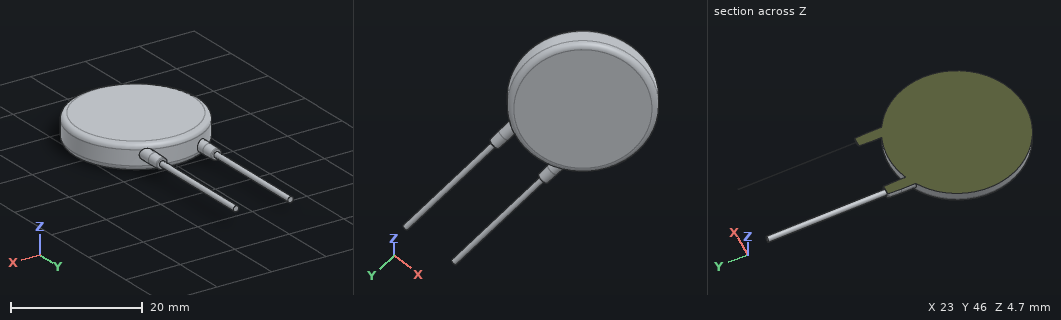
import cadquery as cq

disc_diameter = 23.0
disc_thickness = 4.7
edge_radius = 1.0

lead_spacing = 10.0
lead_stagger = 1.0
lead_diameter = 1.0
lead_end_y = 34.5

sleeve_tip_diameter = 1.95
sleeve_end_y = 14.5
sleeve_tip_radius = 0.15
collar_diameter = 2.05
collar_end_y = 12.3
root_y = 8.3


def section(x, z, y):
    """Plane across a lead at the given y, facing +Y."""
    return cq.Workplane(cq.Plane(origin=(x, y, z), xDir=(1, 0, 0), normal=(0, 1, 0)))


def rod(x, z, diameter, end_y):
    """Round rod along Y from inside the disc to end_y."""
    return section(x, z, root_y).circle(diameter / 2).extrude(end_y - root_y)


def tapered_sleeve(x, z):
    """Sleeve narrowing from the collar to its rounded tip."""
    length = sleeve_end_y - collar_end_y
    sleeve = (
        section(x, z, collar_end_y)
        .circle(collar_diameter / 2)
        .workplane(offset=length)
        .circle(sleeve_tip_diameter / 2)
        .loft()
    )
    return sleeve.faces(">Y").edges().fillet(sleeve_tip_radius)


def lead(side):
    """Lead with sleeve and collar; side is -1 (low, -X) or +1 (high, +X)."""
    x = side * lead_spacing / 2
    z = side * lead_stagger / 2
    wire = rod(x, z, lead_diameter, lead_end_y)
    collar = rod(x, z, collar_diameter, collar_end_y)
    return collar.union(tapered_sleeve(x, z)).union(wire)


disc = cq.Workplane("XY").circle(disc_diameter / 2).extrude(disc_thickness / 2, both=True)
disc = disc.edges("%CIRCLE").fillet(edge_radius)

result = disc.union(lead(-1)).union(lead(1))